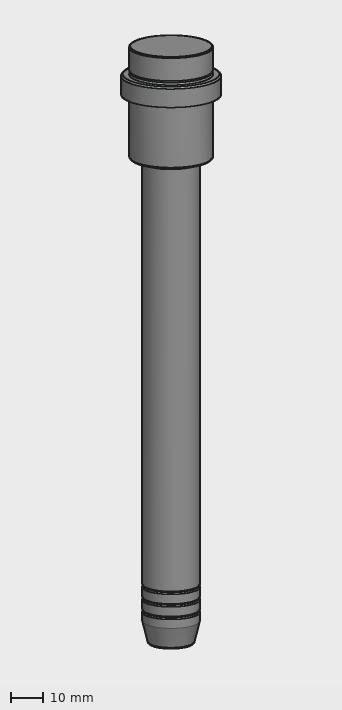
import cadquery as cq
import math

total_length = 191.0

head_diameter = 26.0
flange_diameter = 31.0
flange_top = total_length - 9.0
flange_bottom = total_length - 15.5
head_bottom = total_length - 36.0
sleeve_bottom_chamfer = 0.5
head_top_chamfer = 0.4
flange_chamfer = 0.5

relief_width = 1.3
relief_depth = 0.4

shaft_diameter = 18.0
neck_diameter = 17.2
neck_bottom = total_length - 37.0

groove_count = 3
groove_pitch = 4.0
groove_width = 1.0
groove_depth = 0.4
lowest_groove_z = 10.5

taper_start = 7.3
taper_angle = math.radians(14)
tip_chamfer = 0.5


def cylinder(diameter, bottom, top):
    """Solid cylinder on the Z axis between two heights."""
    return cq.Workplane("XY").workplane(offset=bottom).circle(diameter / 2).extrude(top - bottom)


def ring_groove(diameter, depth, bottom, width):
    """V-section ring to remove from the surface of a cylinder of the given diameter."""
    radius = diameter / 2
    middle = bottom + width / 2
    section = cq.Workplane("XZ").polyline(
        [
            (radius, bottom),
            (radius - depth, middle),
            (radius, bottom + width),
            (radius + depth, middle),
        ]
    ).close()
    return section.revolve(360, (0, 0, 0), (0, 1, 0))


def make_head():
    """Head sleeve chamfered at both ends, flange chamfered on top, and the relief groove above it."""
    sleeve = cylinder(head_diameter, head_bottom, total_length).faces("<Z").chamfer(sleeve_bottom_chamfer)
    sleeve = sleeve.faces(">Z").chamfer(head_top_chamfer)
    flange = cylinder(flange_diameter, flange_bottom, flange_top).faces(">Z").chamfer(flange_chamfer)
    relief = ring_groove(head_diameter, relief_depth, flange_top, relief_width)
    return sleeve.union(flange).cut(relief)


def make_shaft():
    """Revolved shaft with neck, conical taper and chamfered tip."""
    shaft_radius = shaft_diameter / 2
    neck_radius = neck_diameter / 2
    taper_end_radius = shaft_radius - (taper_start - tip_chamfer) * math.tan(taper_angle)
    profile = (
        cq.Workplane("XZ")
        .moveTo(0, 0)
        .lineTo(taper_end_radius - tip_chamfer, 0)
        .lineTo(taper_end_radius, tip_chamfer)
        .lineTo(shaft_radius, taper_start)
        .lineTo(shaft_radius, neck_bottom)
        .lineTo(neck_radius, neck_bottom)
        .lineTo(neck_radius, head_bottom)
        .lineTo(0, head_bottom)
        .close()
    )
    shaft = profile.revolve(360, (0, 0, 0), (0, 1, 0))
    for index in range(groove_count):
        groove_bottom = lowest_groove_z - groove_width / 2 + index * groove_pitch
        shaft = shaft.cut(ring_groove(shaft_diameter, groove_depth, groove_bottom, groove_width))
    return shaft


result = make_head().union(make_shaft())